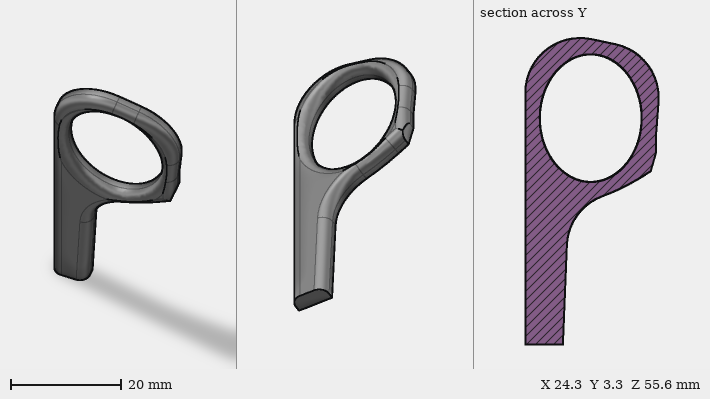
import cadquery as cq
import math

height = 55.55
thickness = 3.3
edge_radius = 2.0

leg_foot_width = 6.9
leg_top_width = 7.6
leg_top_z = 18.05

neck_end = (14.0, 26.85)
underside_end = (20.65, 30.05)

corner_tip = (23.8, 32.0)
trim_low = (22.8, 31.4)
trim_high = (23.8, 34.95)
corner_side_top = (23.8, 38.35)

shoulder_radius = 10.0
shoulder_slope = math.radians(12)
side_lean = math.radians(6)
shoulder_flat = 4.35

hole_center = (11.9, 41.0)
hole_radius_x = 9.15
hole_radius_z = 11.5


def on_circle(center, angle):
    """Point of a shoulder arc, at an angle measured clockwise from +Z."""
    return (
        center[0] + shoulder_radius * math.sin(angle),
        center[1] + shoulder_radius * math.cos(angle),
    )


def rounded_outline():
    """Solid outer shape with its front rim rounded, without the hole."""
    left_center = (shoulder_radius, height - shoulder_radius)
    right_center = (
        left_center[0] + shoulder_flat * math.cos(shoulder_slope),
        left_center[1] - shoulder_flat * math.sin(shoulder_slope),
    )
    side_angle = math.pi / 2 + side_lean
    right_mid_angle = (shoulder_slope + side_angle) / 2
    left_mid_angle = (shoulder_slope - math.pi / 2) / 2
    body = (
        cq.Workplane("XZ")
        .moveTo(0, 0)
        .lineTo(leg_foot_width, 0)
        .lineTo(leg_top_width, leg_top_z)
        .tangentArcPoint(neck_end, relative=False)
        .tangentArcPoint(underside_end, relative=False)
        .lineTo(*corner_tip)
        .lineTo(*corner_side_top)
        .lineTo(*on_circle(right_center, side_angle))
        .threePointArc(on_circle(right_center, right_mid_angle), on_circle(right_center, shoulder_slope))
        .lineTo(*on_circle(left_center, shoulder_slope))
        .threePointArc(on_circle(left_center, left_mid_angle), on_circle(left_center, -math.pi / 2))
        .close()
        .extrude(thickness)
    )
    above_foot = cq.selectors.BoxSelector((-height, -height, edge_radius), (height, height, 2 * height))
    rim = body.faces("<Y").edges(above_foot)
    return rim.fillet(edge_radius)


def flared_hole_plug():
    """Material filling the oval hole and its rounded front rim."""
    block_side = 2 * height
    block = cq.Workplane("XZ").center(*hole_center).rect(block_side, block_side).extrude(thickness)
    hole = (
        cq.Workplane("XZ")
        .center(*hole_center)
        .ellipse(hole_radius_x, hole_radius_z)
        .extrude(thickness)
    )
    plate = block.cut(hole).faces("<Y").edges("not %LINE").fillet(edge_radius)
    return block.cut(plate)


def corner_trim():
    """Wedge that squarely cuts off the sharp corner, reaching past it on its outer sides."""
    run = trim_high[0] - trim_low[0]
    rise = trim_high[1] - trim_low[1]
    return (
        cq.Workplane("XZ")
        .moveTo(trim_low[0] - run, trim_low[1] - rise)
        .lineTo(trim_high[0] + run, trim_high[1] + rise)
        .lineTo(trim_high[0] + run, trim_low[1] - rise)
        .close()
        .extrude(thickness)
    )


result = rounded_outline().cut(flared_hole_plug()).cut(corner_trim())